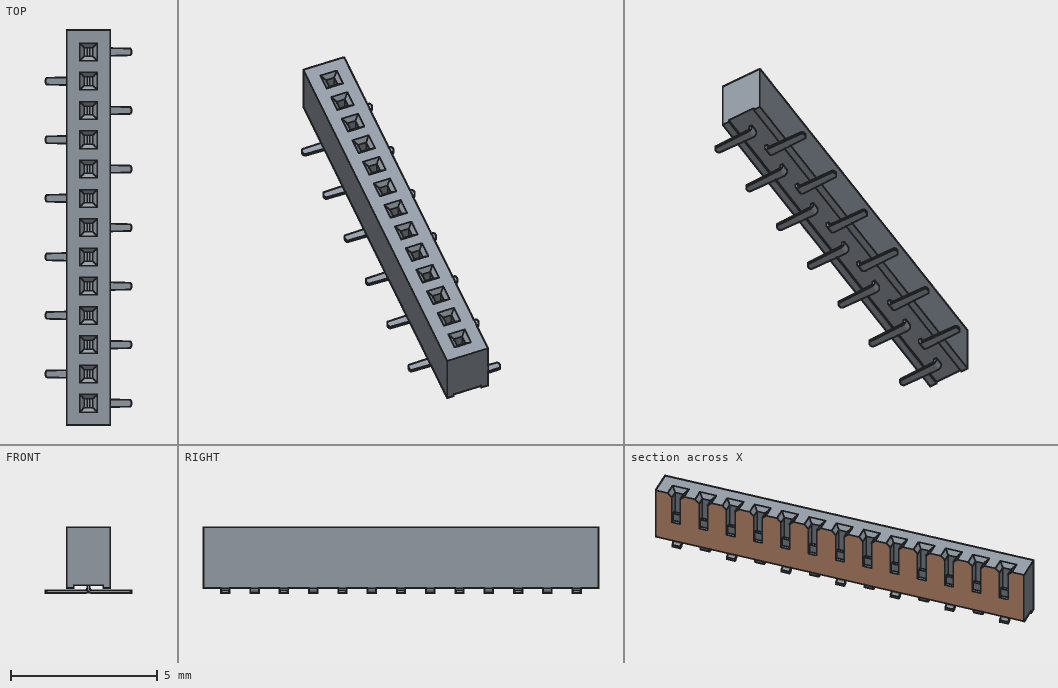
import cadquery as cq

pin_count = 13
pitch = 1.0
overall_height = 2.25
lead_span = 2.95

body_width = 1.5
body_length = 13.5
foot_width = 0.25
foot_height = 0.09
foot_bottom = 0.17
channel_width = body_width - 2 * foot_width

mouth_size = 0.6
bore_size = 0.3
funnel_depth = (mouth_size - bore_size) / 2
bore_floor_depth = 1.2
floor_z = overall_height - bore_floor_depth

metal_thickness = 0.1
blade_width = 0.3
tip_width = 0.24
bend_inner_radius = 0.05
bend_outer_radius = bend_inner_radius + metal_thickness
tip_bulge = 0.05
blade_rise = 0.3
blade_top = floor_z + blade_rise


def make_body():
    """Rectangular housing with a full-length channel between its two feet."""
    block_height = overall_height - foot_bottom
    block = cq.Workplane("XY").box(
        body_width, body_length, block_height, centered=(True, True, False)
    )
    channel = cq.Workplane("XY").box(
        channel_width, body_length, foot_height, centered=(True, True, False)
    )
    return block.cut(channel).translate((0, 0, foot_bottom))


def make_socket(y):
    """Square funnel opening into a blind square bore."""
    funnel = (
        cq.Workplane("XY", origin=(0, y, overall_height))
        .rect(mouth_size, mouth_size)
        .workplane(offset=-funnel_depth)
        .rect(bore_size, bore_size)
        .loft(combine=True)
    )
    bore = (
        cq.Workplane("XY", origin=(0, y, floor_z))
        .rect(bore_size, bore_size)
        .extrude(bore_floor_depth - funnel_depth)
    )
    return funnel.union(bore)


def make_terminal(y, side):
    """L-shaped terminal: vertical blade bent into a flat lead; side is +1 for +X, -1 for -X."""
    inner_x = side * metal_thickness / 2
    outer_x = -inner_x
    tip_x = side * lead_span / 2
    shoulder_x = tip_x - side * tip_bulge
    bend_x = outer_x + side * bend_outer_radius
    profile = (
        cq.Workplane("XZ", origin=(0, y, 0))
        .moveTo(outer_x, blade_top)
        .lineTo(outer_x, bend_outer_radius)
        .radiusArc((bend_x, 0), -side * bend_outer_radius)
        .lineTo(tip_x, 0)
        .lineTo(tip_x, metal_thickness)
        .lineTo(bend_x, metal_thickness)
        .radiusArc((inner_x, bend_outer_radius), side * bend_inner_radius)
        .lineTo(inner_x, blade_top)
        .close()
    )
    strip = profile.extrude(blade_width / 2, both=True)
    outline = (
        cq.Workplane("XY")
        .moveTo(outer_x, y - blade_width / 2)
        .lineTo(bend_x, y - blade_width / 2)
        .lineTo(shoulder_x, y - tip_width / 2)
        .threePointArc((tip_x, y), (shoulder_x, y + tip_width / 2))
        .lineTo(bend_x, y + blade_width / 2)
        .lineTo(outer_x, y + blade_width / 2)
        .close()
        .extrude(blade_top)
    )
    return strip.intersect(outline)


result = make_body()
pin_positions = [(i - (pin_count - 1) / 2) * pitch for i in range(pin_count)]
for y in pin_positions:
    result = result.cut(make_socket(y))
for index, y in enumerate(pin_positions):
    lead_side = 1 if index % 2 == 0 else -1
    result = result.union(make_terminal(y, lead_side))